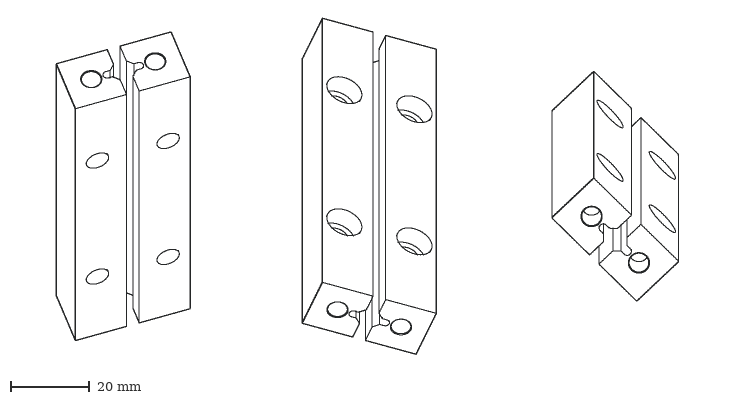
import cadquery as cq
import math

PAIR_WIDTH = 31.0
RAIL_HEIGHT = 15.0
RAIL_LENGTH = 100.0
RAIL_WIDTH = 13.8
EDGE_CHAMFER = 0.12

ROLLER_DIAMETER = 6.0
RELIEF_WIDTH = 2.1
RELIEF_BOTTOM_Y = 5.4

BOLT_DIAMETER = 6.0
COUNTERBORE_DIAMETER = 9.5
COUNTERBORE_DEPTH = 5.2
BOLT_INSET = 6.0
BOLT_PITCH = 50.0
BOLT_COUNT = 2

END_HOLE_DIAMETER = 5.0
END_HOLE_DEPTH = 10.0
END_HOLE_CHAMFER = 0.2
END_HOLE_Y = 8.6
DRILL_TIP_ANGLE = 90.0

OUTER_Y = PAIR_WIDTH / 2
INNER_Y = OUTER_Y - RAIL_WIDTH
BOLT_Y = OUTER_Y - BOLT_INSET
HALF_HEIGHT = RAIL_HEIGHT / 2
HALF_LENGTH = RAIL_LENGTH / 2


def rail_blank():
    """Plain bar of the +Y rail with the edges of its outer face chamfered."""
    bar = cq.Workplane("XY").box(RAIL_HEIGHT, RAIL_WIDTH, RAIL_LENGTH)
    bar = bar.translate((0, (INNER_Y + OUTER_Y) / 2, 0))
    return bar.faces(">Y").edges().chamfer(EDGE_CHAMFER)


def roller_groove():
    """90 degree V that seats the rollers, with a round-bottomed relief slot."""
    v_apex_y = ROLLER_DIAMETER / math.sqrt(2)
    mouth_x = v_apex_y - INNER_Y
    relief_x = RELIEF_WIDTH / 2
    return (
        cq.Workplane("XY", origin=(0, 0, -HALF_LENGTH))
        .moveTo(-mouth_x, INNER_Y)
        .lineTo(-relief_x, v_apex_y - relief_x)
        .lineTo(-relief_x, RELIEF_BOTTOM_Y - relief_x)
        .threePointArc((0, RELIEF_BOTTOM_Y), (relief_x, RELIEF_BOTTOM_Y - relief_x))
        .lineTo(relief_x, v_apex_y - relief_x)
        .lineTo(mouth_x, INNER_Y)
        .close()
        .extrude(RAIL_LENGTH)
    )


def bolt_hole(z):
    """Through hole along X with a counterbore in the -X face."""
    face = cq.Workplane("YZ", origin=(-HALF_HEIGHT, BOLT_Y, z))
    through = face.circle(BOLT_DIAMETER / 2).extrude(RAIL_HEIGHT)
    counterbore = face.circle(COUNTERBORE_DIAMETER / 2).extrude(COUNTERBORE_DEPTH)
    return through.union(counterbore)


def top_end_hole():
    """Drilled hole with a chamfered mouth and conical bottom, entering from the +Z end."""
    radius = END_HOLE_DIAMETER / 2
    tip_height = radius / math.tan(math.radians(DRILL_TIP_ANGLE / 2))
    shoulder_z = HALF_LENGTH - END_HOLE_DEPTH
    return (
        cq.Workplane("XZ")
        .moveTo(0, HALF_LENGTH)
        .lineTo(radius + END_HOLE_CHAMFER, HALF_LENGTH)
        .lineTo(radius, HALF_LENGTH - END_HOLE_CHAMFER)
        .lineTo(radius, shoulder_z)
        .lineTo(0, shoulder_z - tip_height)
        .close()
        .revolve(360, (0, 0), (0, 1))
        .translate((0, END_HOLE_Y, 0))
    )


def make_rail():
    """The +Y rail."""
    rail = rail_blank().cut(roller_groove())
    for i in range(BOLT_COUNT):
        rail = rail.cut(bolt_hole((i - (BOLT_COUNT - 1) / 2) * BOLT_PITCH))
    end_hole = top_end_hole()
    return rail.cut(end_hole).cut(end_hole.mirror("XY"))


rails = []
for mirrored in (False, True):
    rail = make_rail()
    if mirrored:
        rail = rail.mirror("XZ")
    rails.append(rail)

result = cq.Compound.makeCompound([rail.val() for rail in rails])